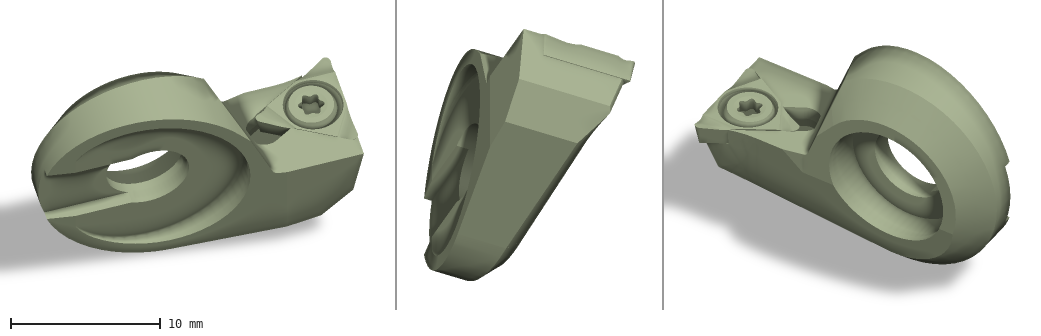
import cadquery as cq
import math


RING_RADIUS = 7.5
CHAMFER = 1.99
TOP_TANGENT_ANGLE = 40.5
BOTTOM_TANGENT_ANGLE = 8.3
TOP_CHAMFER_LENGTH = 4.37
CHAMFER_EDGE_DRIFT = -0.05
BORE_RADIUS = 2.75
COUNTERBORE_RADIUS = 4.5
COUNTERBORE_FLOOR_X = 2.97
RECESS_RADIUS = 6.5
RECESS_FLOOR_X = 4.57
RECESS_FILLET = 0.2
SLOT_FLOOR_X = 3.7
SLOT_WIDTH = 4.94

ARM_TOP_Z = -0.07
ARM_END_Y = 14.3
END_RELIEF_ANGLE = 11.0
HEEL_Y = 11.32
TOE_Z = -3.9
SIDE_TILT = 10.0
SIDE_TILT_Z = -1.68
FLARE_START_Y = 10.1
FLARE_RADIUS = 7.65
FLARE_LEAN = 0.1
SHOULDER_START_Y = 6.6
SHOULDER_SLOPE = 0.2
NOSE_CORNER = (-0.87, 13.68, -1.64)
NOSE_EDGE_DIRECTION = (3.6, -2.3, -11.8)

STEP_Y = 6.3
STEP_TURN = 15.0
STEP_LEAN = 20.0
STEP_FILLET = 0.4

INSERT_X = 2.0
INSERT_INRADIUS = 2.18
OVERALL_LENGTH = 21.85
INSERT_END_Y = OVERALL_LENGTH - RING_RADIUS
INSERT_Y = INSERT_END_Y - INSERT_INRADIUS
INSERT_EDGE_DIRECTION = -60.0
INSERT_THICKNESS = 1.6
INSERT_CORNER_RADIUS = 0.37
INSERT_RELIEF_ANGLE = 11.0
POCKET_GAP = 0.07
GROOVE_START = 2.18
GROOVE_FLAT_START = 2.82
GROOVE_TIP = 3.52
GROOVE_RAKE = 12.0
MOUTH_RADIUS = 2.03
SEAT_RADIUS = 1.97
SEAT_DEPTH = 0.22
SEAT_HALF_ANGLE = 45.0
INSERT_HOLE_RADIUS = 1.14

OVERALL_WIDTH = 8.3
INSERT_TIP_ROUNDING = (math.sqrt(3) - 1) * INSERT_CORNER_RADIUS
INSERT_TIP_X = INSERT_X - math.sqrt(3) * INSERT_INRADIUS + INSERT_TIP_ROUNDING
BACK_X = INSERT_TIP_X + OVERALL_WIDTH
BACK_BEND_Y = 8.94
BACK_ANGLE = 9.0

RELIEF_RADIUS = 1.2
RELIEF_ALONG = 3.75
RELIEF_LENGTH = 2.62
RELIEF_TAPER_DEPTH = 0.87
RELIEF_TAPER = 8.0

SCREW_X = INSERT_X
SCREW_OFFSET = 0.13
SCREW_Y = INSERT_Y - SCREW_OFFSET
HEAD_TOP_Z = 0.1
HEAD_TOP_RADIUS = 1.53
HEAD_RADIUS = 1.75
SHANK_RADIUS = 0.96
SCREW_END_Z = -3.5
SOCKET_RIM_RADIUS = 1.1
SOCKET_RIM_DEPTH = 0.07
SOCKET_MEAN_RADIUS = 0.79
SOCKET_LOBE_HEIGHT = 0.1
SOCKET_LOBES = 6
SOCKET_TURN = 21.0
SOCKET_DEPTH = 0.95

REACH = 21.85


def tangent(degrees):
    return math.tan(math.radians(degrees))


def ring_point(degrees, radius=RING_RADIUS):
    """Y and Z of a point on a circle about the ring's axis, measured from +Y toward +Z."""
    angle = math.radians(degrees)
    return (radius * math.cos(angle), radius * math.sin(angle))


def disc(radius, x_start, x_end):
    """A cylinder on the ring's axis."""
    return cq.Workplane("YZ").workplane(offset=x_start).circle(radius).extrude(x_end - x_start)



def holder_blank():
    """Side outline of ring and arm, as thick as the whole holder."""
    bottom_y, bottom_z = ring_point(BOTTOM_TANGENT_ANGLE - 90)
    top_y, top_z = ring_point(TOP_TANGENT_ANGLE)
    heel_z = bottom_z + (HEEL_Y - bottom_y) * tangent(BOTTOM_TANGENT_ANGLE)
    toe_y = ARM_END_Y - (ARM_TOP_Z - TOE_Z) * tangent(END_RELIEF_ANGLE)
    ramp_run = (top_z - ARM_TOP_Z) * tangent(TOP_TANGENT_ANGLE)
    side = (
        cq.Workplane("YZ")
        .moveTo(top_y, top_z)
        .threePointArc((-RING_RADIUS, 0), (bottom_y, bottom_z))
        .lineTo(HEEL_Y, heel_z)
        .lineTo(toe_y, TOE_Z)
        .lineTo(ARM_END_Y, ARM_TOP_Z)
        .lineTo(top_y + ramp_run, ARM_TOP_Z)
        .close()
        .extrude(REACH, both=True)
    )
    back_drop = (BACK_BEND_Y + REACH) * tangent(BACK_ANGLE)
    plan = (
        cq.Workplane("XY")
        .polyline([
            (-REACH, -REACH),
            (BACK_X - back_drop, -REACH),
            (BACK_X, BACK_BEND_Y),
            (BACK_X, REACH),
            (-REACH, REACH),
        ])
        .close()
        .extrude(REACH, both=True)
    )
    return side.intersect(plan)


def side_envelope():
    """Space to the +X side of the arm's tilted side and of the flare at its end."""
    height = 2 * RING_RADIUS
    top_z = RING_RADIUS
    side_x = -(top_z - SIDE_TILT_Z) * tangent(SIDE_TILT)
    start_y = FLARE_START_Y - FLARE_LEAN * top_z
    flare_angle = math.radians(60)
    end_x = side_x - FLARE_RADIUS * (1 - math.cos(flare_angle))
    end_y = start_y + FLARE_RADIUS * math.sin(flare_angle)
    outline = (
        cq.Workplane("XY", origin=(0, 0, top_z))
        .moveTo(REACH, -REACH)
        .lineTo(side_x, -REACH)
        .lineTo(side_x, start_y)
        .tangentArcPoint((end_x, end_y), relative=False)
        .lineTo(REACH, end_y)
        .close()
        .val()
    )
    sweep = cq.Vector(height * tangent(SIDE_TILT), height * FLARE_LEAN, -height)
    return cq.Workplane(cq.Solid.extrudeLinear(outline, [], sweep))


def ring_face_cutter():
    """Clears everything in front of the ring's face, up to the slanted shoulder."""
    return (
        cq.Workplane("XY")
        .polyline([
            (0, -REACH),
            (0, SHOULDER_START_Y),
            (-REACH * SHOULDER_SLOPE, SHOULDER_START_Y + REACH),
            (-REACH, SHOULDER_START_Y + REACH),
            (-REACH, -REACH),
        ])
        .close()
        .extrude(REACH, both=True)
    )


def ring_chamfer_cutter():
    """The conical chamfer, only where the outline follows the ring."""
    margin = 0.44
    sweep = 360 - 90 - TOP_TANGENT_ANGLE + BOTTOM_TANGENT_ANGLE
    inner = RING_RADIUS - CHAMFER - margin
    outer = RING_RADIUS + margin
    return (
        cq.Workplane("XY")
        .polyline([(-margin, inner), (CHAMFER + margin, outer), (-margin, outer)])
        .close()
        .revolve(sweep, (0, 0, 0), (1, 0, 0))
        .rotate((0, 0, 0), (1, 0, 0), TOP_TANGENT_ANGLE)
    )


def flat_chamfer_cutter(degrees, run, length):
    """Flat continuation of the chamfer from the ring's tangent point, along the direction run."""
    edge_y, edge_z = ring_point(degrees)
    slope = cq.Vector(1, *ring_point(degrees, 1))
    outward = run.cross(slope)
    if outward.x > 0:
        outward = -outward
    plane = cq.Plane(origin=(CHAMFER, edge_y, edge_z), xDir=run, normal=outward)
    return (
        cq.Workplane(plane)
        .center(length / 2, 0)
        .rect(length, 2 * RING_RADIUS)
        .extrude(RING_RADIUS)
    )


def top_chamfer_cutter():
    run_y, run_z = ring_point(TOP_TANGENT_ANGLE - 90, 1)
    return flat_chamfer_cutter(TOP_TANGENT_ANGLE, cq.Vector(0, run_y, run_z), TOP_CHAMFER_LENGTH)


def bottom_chamfer_cutter():
    run_y, run_z = ring_point(BOTTOM_TANGENT_ANGLE, 1)
    run = cq.Vector(CHAMFER_EDGE_DRIFT, run_y, run_z)
    return flat_chamfer_cutter(BOTTOM_TANGENT_ANGLE - 90, run, REACH)


def step_cutter():
    """Space above the arm, bounded by the leaning step wall and its foot fillet."""
    turn = math.radians(STEP_TURN)
    across = (-math.sin(turn), math.cos(turn), 0)
    along = (math.cos(turn), math.sin(turn), 0)
    plane = cq.Plane(origin=(0, STEP_Y, ARM_TOP_Z), xDir=across, normal=along)
    height = 2 * RING_RADIUS
    return (
        cq.Workplane(plane)
        .polyline([(0, 0), (REACH, 0), (REACH, height), (-height * tangent(STEP_LEAN), height)])
        .close()
        .extrude(REACH, both=True)
        .edges(cq.selectors.NearestToPointSelector((0, STEP_Y, ARM_TOP_Z)))
        .fillet(STEP_FILLET)
    )


def nose_cutter():
    """Bevel on the corner between the flare and the arm's end face."""
    edge = cq.Vector(*NOSE_EDGE_DIRECTION)
    outward = edge.cross(cq.Vector(1, 1, 0))
    if outward.x > 0:
        outward = -outward
    plane = cq.Plane(origin=NOSE_CORNER, xDir=edge, normal=outward)
    return cq.Workplane(plane).rect(REACH, REACH).extrude(RING_RADIUS)


def back_recess():
    recess = disc(RECESS_RADIUS, RECESS_FLOOR_X, REACH)
    return recess.faces("<X").edges().fillet(RECESS_FILLET)


def rim_slot():
    """Slot from the -Y side of the rim into the bore."""
    return (
        cq.Workplane("XY")
        .box(REACH, REACH, SLOT_WIDTH, centered=(False, False, True))
        .translate((SLOT_FLOOR_X, -REACH, 0))
    )


def insert_pocket():
    """Seat of the insert, with a narrow gap along the insert's lower left side."""
    seat = insert_blank()
    gap_direction = math.radians(INSERT_EDGE_DIRECTION - 90)
    shift = (POCKET_GAP * math.cos(gap_direction), POCKET_GAP * math.sin(gap_direction), 0)
    return seat.union(seat.translate(shift))


def relief_slot():
    """Round-ended slot along the insert's lower left edge, tapered near its mouth."""
    angle = math.radians(INSERT_EDGE_DIRECTION)
    side_step = INSERT_INRADIUS - RELIEF_RADIUS
    slot_middle = RELIEF_ALONG - RELIEF_LENGTH / 2
    x = INSERT_X + slot_middle * math.cos(angle) + side_step * math.sin(angle)
    y = INSERT_Y + slot_middle * math.sin(angle) - side_step * math.cos(angle)

    def slot_outline(radius, z):
        return (
            cq.Workplane("XY", origin=(x, y, z))
            .slot2D(RELIEF_LENGTH + 2 * radius, 2 * radius, INSERT_EDGE_DIRECTION)
        )

    taper_end_z = ARM_TOP_Z - RELIEF_TAPER_DEPTH
    lower_radius = RELIEF_RADIUS - RELIEF_TAPER_DEPTH * tangent(RELIEF_TAPER)
    upper = slot_outline(RELIEF_RADIUS, ARM_TOP_Z).extrude(-RELIEF_TAPER_DEPTH, taper=RELIEF_TAPER)
    lower = slot_outline(lower_radius, taper_end_z).extrude(-INSERT_THICKNESS - taper_end_z)
    return upper.union(lower)


def make_holder():
    holder = holder_blank().intersect(side_envelope())
    holder = holder.cut(ring_face_cutter())
    holder = holder.cut(ring_chamfer_cutter())
    holder = holder.cut(top_chamfer_cutter())
    holder = holder.cut(bottom_chamfer_cutter())
    holder = holder.cut(step_cutter())
    holder = holder.cut(nose_cutter())
    holder = holder.cut(disc(COUNTERBORE_RADIUS, -REACH, COUNTERBORE_FLOOR_X))
    holder = holder.cut(disc(BORE_RADIUS, 0, REACH))
    holder = holder.cut(back_recess())
    holder = holder.cut(rim_slot().cut(disc(BORE_RADIUS, 0, 2 * REACH)))
    holder = holder.cut(insert_pocket())
    holder = holder.cut(relief_slot())
    return holder.cut(screw_blank())



def insert_blank():
    """Rounded triangle with one edge square to +Y, narrowing downward."""
    half_edge = INSERT_INRADIUS * math.sqrt(3)
    triangle = (
        cq.Sketch()
        .polygon([
            (-half_edge, INSERT_INRADIUS),
            (0, -2 * INSERT_INRADIUS),
            (half_edge, INSERT_INRADIUS),
            (-half_edge, INSERT_INRADIUS),
        ])
        .vertices()
        .fillet(INSERT_CORNER_RADIUS)
    )
    return (
        cq.Workplane("XY", origin=(INSERT_X, INSERT_Y, 0))
        .placeSketch(triangle)
        .extrude(-INSERT_THICKNESS, taper=INSERT_RELIEF_ANGLE)
    )


def chip_groove(turn):
    """Rake flat at one tip, rising in an arc to the rake face; turn picks the tip."""
    height = 0.44
    overrun = 0.87
    rake = tangent(GROOVE_RAKE)
    width = 2 * INSERT_INRADIUS
    return (
        cq.Workplane("XZ", origin=(INSERT_X, INSERT_Y + width, 0))
        .moveTo(-GROOVE_TIP - overrun, overrun * rake)
        .lineTo(-GROOVE_FLAT_START, -(GROOVE_TIP - GROOVE_FLAT_START) * rake)
        .tangentArcPoint((-GROOVE_START, 0), relative=False)
        .lineTo(-GROOVE_START, height)
        .lineTo(-GROOVE_TIP - overrun, height)
        .close()
        .extrude(2 * width)
        .rotate((INSERT_X, INSERT_Y, 0), (INSERT_X, INSERT_Y, 1), turn)
    )


def insert_hole():
    """Steep lip and conical screw seat running into a straight hole."""
    cone_end_z = -SEAT_DEPTH - (SEAT_RADIUS - INSERT_HOLE_RADIUS) / tangent(SEAT_HALF_ANGLE)
    return (
        cq.Workplane("XZ", origin=(INSERT_X, INSERT_Y, 0))
        .polyline([
            (0, 0),
            (MOUTH_RADIUS, 0),
            (SEAT_RADIUS, -SEAT_DEPTH),
            (INSERT_HOLE_RADIUS, cone_end_z),
            (INSERT_HOLE_RADIUS, -INSERT_THICKNESS),
            (0, -INSERT_THICKNESS),
        ])
        .close()
        .revolve(360, (0, 0, 0), (0, 1, 0))
    )


def make_insert():
    insert = insert_blank().cut(insert_hole())
    for turn in (0, 120, 240):
        insert = insert.cut(chip_groove(turn))
    return insert



def screw_blank():
    """Bevelled head whose cone touches the insert's seat on one side, and a plain shank."""
    seat_slope = tangent(SEAT_HALF_ANGLE)
    rim_z = -SEAT_DEPTH - (SEAT_RADIUS - SCREW_OFFSET - HEAD_RADIUS) / seat_slope
    cone_end_z = rim_z - (HEAD_RADIUS - SHANK_RADIUS) / seat_slope
    return (
        cq.Workplane("XZ", origin=(SCREW_X, SCREW_Y, 0))
        .polyline([
            (0, HEAD_TOP_Z),
            (HEAD_TOP_RADIUS, HEAD_TOP_Z),
            (HEAD_RADIUS, rim_z),
            (SHANK_RADIUS, cone_end_z),
            (SHANK_RADIUS, SCREW_END_Z),
            (0, SCREW_END_Z),
        ])
        .close()
        .revolve(360, (0, 0, 0), (0, 1, 0))
    )


def socket():
    """Six-lobed drive socket with a shallow conical rim."""
    def lobe_outline(t):
        angle = 2 * math.pi * t
        phase = SOCKET_LOBES * (angle - math.radians(SOCKET_TURN))
        radius = SOCKET_MEAN_RADIUS + SOCKET_LOBE_HEIGHT * math.cos(phase)
        return (radius * math.cos(angle), radius * math.sin(angle))

    top = cq.Workplane("XY", origin=(SCREW_X, SCREW_Y, HEAD_TOP_Z))
    point_count = 8 * SOCKET_LOBES
    points = [lobe_outline(i / point_count) for i in range(point_count)]
    lobes = top.spline(points, periodic=True).close().extrude(-SOCKET_DEPTH)
    rim_bottom_radius = SOCKET_MEAN_RADIUS - SOCKET_LOBE_HEIGHT
    rim = (
        cq.Workplane("XZ", origin=(SCREW_X, SCREW_Y, HEAD_TOP_Z))
        .polyline([
            (0, 0),
            (SOCKET_RIM_RADIUS, 0),
            (rim_bottom_radius, -SOCKET_RIM_DEPTH),
            (0, -SOCKET_RIM_DEPTH),
        ])
        .close()
        .revolve(360, (0, 0, 0), (0, 1, 0))
    )
    return lobes.union(rim)


def make_screw():
    return screw_blank().cut(socket())


holder = make_holder()
insert = make_insert()
screw = make_screw()
result = cq.Compound.makeCompound([
    holder.solids().val(),
    insert.solids().val(),
    screw.solids().val(),
])